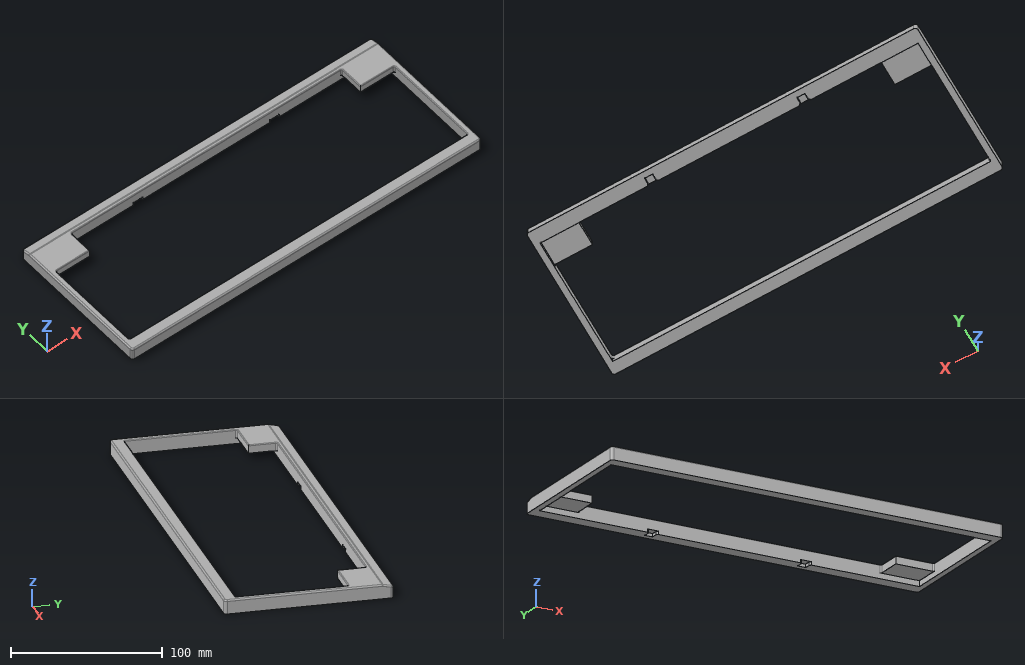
import cadquery as cq

LENGTH = 296.3
WIDTH = 116.0
HEIGHT = 10.0

SIDE_RAIL = 4.7
FRONT_RAIL = 9.0
BACK_RAIL = 10.5

PAD_REACH_X = 33.5
PAD_REACH_Y = 30.0
PAD_THICKNESS = 6.0

SLOPE_WIDTH = 7.7
SLOPE_DROP = 1.8
RIDGE_RADIUS = 3.0

CORNER_RADIUS = 2.0
RIM_RADIUS = 1.05
OPENING_CORNER_RADIUS = 1.05
OPENING_RIM_RADIUS = 0.5

NOTCH_SPACING = 115.5
NOTCH_LENGTH = 6.0
NOTCH_HEIGHT = 2.5
NOTCH_DEPTH = 6.0
NOTCH_MOUTH_RADIUS = 1.05

RIGHT = LENGTH / 2
BACK = WIDTH / 2
OPENING_RIGHT = RIGHT - SIDE_RAIL
OPENING_FRONT = -BACK + FRONT_RAIL
OPENING_BACK = BACK - BACK_RAIL
PAD_INNER_X = RIGHT - PAD_REACH_X
PAD_FRONT = BACK - PAD_REACH_Y


def outer_block():
    """Solid block with the back slope, rounded corners and a rounded top rim."""
    profile = (
        cq.Workplane("YZ")
        .moveTo(-BACK, 0)
        .lineTo(BACK, 0)
        .lineTo(BACK, HEIGHT - SLOPE_DROP)
        .lineTo(BACK - SLOPE_WIDTH, HEIGHT)
        .lineTo(-BACK, HEIGHT)
        .close()
    )
    block = profile.extrude(RIGHT, both=True)
    block = block.edges("|Z").fillet(CORNER_RADIUS)
    block = block.faces(">Z").edges(">Y").fillet(RIDGE_RADIUS)
    return block.faces("<Y").edges(">Z").fillet(RIM_RADIUS)


def opening():
    """Through opening that steps inwards around the two pads."""
    right_half = [
        (OPENING_RIGHT, OPENING_FRONT),
        (OPENING_RIGHT, PAD_FRONT),
        (PAD_INNER_X, PAD_FRONT),
        (PAD_INNER_X, OPENING_BACK),
    ]
    left_half = [(-x, y) for x, y in reversed(right_half)]
    cutter = cq.Workplane("XY").polyline(right_half + left_half).close().extrude(HEIGHT)
    return cutter.edges("|Z").edges("<X or >X or >Y").fillet(OPENING_CORNER_RADIUS)


def round_opening_rim(frame):
    """Round the top edge of the opening."""
    rim = frame.faces(">Z").val().innerWires()[0]
    return frame.newObject(rim.Edges()).fillet(OPENING_RIM_RADIUS)


def pad_undercut():
    """Space below the pads, which do not reach the base."""
    depth = OPENING_BACK - OPENING_FRONT
    return (
        cq.Workplane("XY")
        .center(0, OPENING_FRONT + depth / 2)
        .rect(2 * OPENING_RIGHT, depth)
        .extrude(HEIGHT - PAD_THICKNESS)
    )


def notch(center_x):
    """Notch from below whose mouth flares into the inner face of the back rail."""
    half = NOTCH_LENGTH / 2
    flare = NOTCH_MOUTH_RADIUS
    return (
        cq.Workplane("XY")
        .center(center_x, OPENING_BACK)
        .moveTo(-half - flare, 0)
        .radiusArc((-half, flare), flare)
        .lineTo(-half, NOTCH_DEPTH)
        .lineTo(half, NOTCH_DEPTH)
        .lineTo(half, flare)
        .radiusArc((half + flare, 0), flare)
        .close()
        .extrude(NOTCH_HEIGHT)
    )


result = outer_block().cut(opening())
result = round_opening_rim(result)
result = result.cut(pad_undercut())
for side in (-1, 1):
    result = result.cut(notch(side * NOTCH_SPACING / 2))